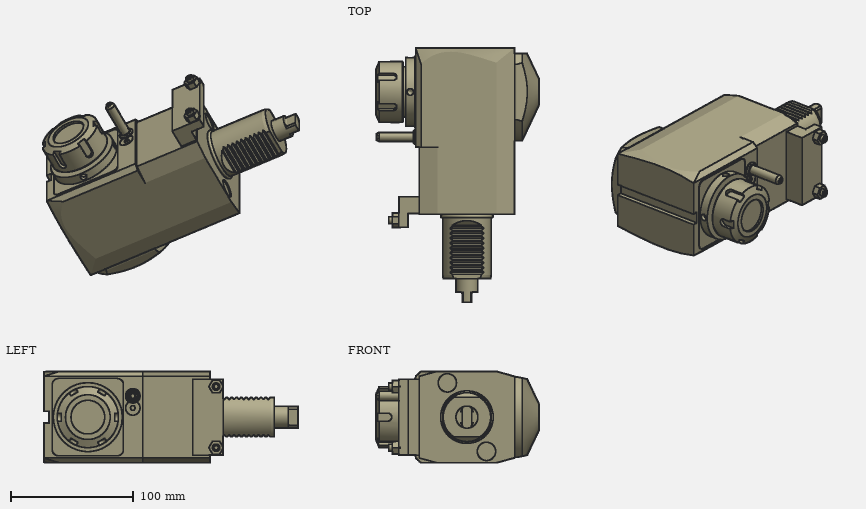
import cadquery as cq
import math


BODY_LENGTH = 136.0
BODY_HALF_HEIGHT = 37.5
BODY_SIDE_HALF_HEIGHT = 33.4
BODY_RIGHT = 39.0
BODY_SLOPE_RIGHT = 24.0
HEAD_START = 55.0
HEAD_LEFT = -42.0
HEAD_SLOPE_LEFT = -37.5
FOOT_LEFT = -39.0
FOOT_SLOPE_LEFT = -24.0
CROWN_PEAK_X = -13.0
CROWN_PEAK_HALF_HEIGHT = 37.1
CROWN_SHOULDER_X = 10.0
CROWN_SHOULDER_HALF_HEIGHT = 36.4
CROWN_SETBACK_LEFT = 13.2
CROWN_SETBACK_PEAK = 3.1
CROWN_SETBACK_SHOULDER = 7.6
CROWN_SETBACK_RIGHT = 12.0
SLOT_WIDTH = 9.6
SLOT_DEPTH = 4.1
PLUG_HOLE_DIAMETER = 15.0
PLUG_HOLE_DEPTH = 1.0
PLUG_HOLE_X = 16.0
PLUG_HOLE_Z = 28.0

SPINDLE_Y = 100.0
PLATE_THICKNESS = 0.5
PLATE_WIDTH = 58.2
PLATE_HEIGHT = 63.2
PLATE_CORNER_RADIUS = 5.0
FLANGE_RADIUS = 28.2
FLANGE_LEFT = -50.1
FLANGE_HOLE_DIAMETER = 5.4
FLANGE_HOLE_DEPTH = 4.0
FLANGE_HOLE_X = -46.3
FLANGE_HOLE_COUNT = 4
DRILL_POINT_ANGLE = 118.0
NECK_RADIUS = 20.7
NUT_RADIUS = 25.0
NUT_LEFT = -74.5
NUT_RIGHT = -52.0
NUT_REAR_CHAMFER = 1.0
NUT_TAPER_LENGTH = 2.7
NUT_FACE_RADIUS = 18.3
NUT_BORE_RADIUS = 13.8
NUT_BORE_DEPTH = 2.0
NUT_SLOT_COUNT = 6
NUT_SLOT_WIDTH = 6.6
NUT_SLOT_FLOOR_RADIUS = 21.9
NUT_SLOT_RIGHT = -57.3
NUT_SIDE_SLOT_RIGHT = -61.5

COOLANT_Y = 63.2
TUBE_Z = 17.4
TUBE_RADIUS = 3.85
TUBE_LEFT = -74.0
TUBE_TIP_LENGTH = 2.3
TUBE_TIP_RADIUS = 2.5
TUBE_COLLAR_RADIUS = 5.9
TUBE_COLLAR_LENGTH = 1.8
TUBE_COLLAR_TAPER = 1.2
COOLANT_PLUG_Z = 7.5
COOLANT_PLUG_RECESS = 0.3
SOCKET_WIDTH = 3.6
SOCKET_DEPTH = 2.0

BRACKET_LEFT = -55.7
BRACKET_LEG_RIGHT = -48.0
BRACKET_TOP = 14.4
BRACKET_STEP = 0.6
BRACKET_BOTTOM = -10.7
BRACKET_HEIGHT = 62.2
STUD_Y = -4.9
STUD_Z = 25.0
STUD_RADIUS = 3.0
STUD_LEFT = -64.0
STUD_SOCKET_WIDTH = 3.4
STUD_SOCKET_DEPTH = 1.5
STUD_NUT_ACROSS_FLATS = 10.3
STUD_NUT_LEFT = -61.0

SHANK_RADIUS = 20.0
SHANK_END = -52.6
SHANK_CHAMFER_RADIAL = 0.6
SHANK_CHAMFER_LENGTH = 3.0
RING_RADIUS = 21.5
FLAT_HEIGHT = 16.1
RUNOUT_START = -5.2
TOOTH_COUNT = 10
TOOTH_PITCH = 4.0
TOOTH_DEPTH = 1.6
FIRST_TOOTH_ROOT = -11.6
TANG_RADIUS = 9.0
TANG_SHOULDER = -63.7
TANG_END = -72.0
TANG_HALF_WIDTH = 4.0
TANG_FLAT_HALF_HEIGHT = 6.6
TANG_BEVEL_HALF_WIDTH = 3.1
TANG_ROOT_FILLET = 1.0

DOME_RADIUS = 40.0
DOME_CONE_LEFT = 45.2
DOME_RIGHT = 59.1
DOME_TIP_RADIUS = 10.6
DOME_BACK = 131.5
DOME_FLAT_LEFT = 40.8
DOME_FLAT_LEFT_HALF_HEIGHT = 33.0
DOME_FLAT_RIGHT_HALF_HEIGHT = 29.1

HEXAGON_SIDES = 6
OVERLAP = 1.0
MARGIN = 5.0


def x_cylinder(x_start, x_end, y, z, radius):
    """Cylinder along X between two X positions."""
    return (
        cq.Workplane("YZ", origin=(x_start, y, z))
        .circle(radius)
        .extrude(x_end - x_start)
    )


def x_hexagon(x_start, y, z, across_flats, length):
    """Hexagonal prism reaching from one X position toward +X."""
    across_corners = across_flats / math.cos(math.pi / HEXAGON_SIDES)
    return cq.Workplane("YZ", origin=(x_start, y, z)).polygon(HEXAGON_SIDES, across_corners).extrude(length)


def revolve_about_x(outline, y, z):
    """Revolve (x, radius) points about the X-parallel axis through y, z."""
    return cq.Workplane("XY", origin=(0, y, z)).polyline(outline).close().revolve(360, (0, 0, 0), (1, 0, 0))


def y_prism(outline, y_start, y_end):
    """Extrude (x, z) points along Y."""
    sketch = cq.Workplane("XZ", origin=(0, y_end, 0)).polyline(outline).close()
    return sketch.extrude(y_end - y_start)


def body_section(left, slope_left):
    """Octagonal body outline, symmetric about Z = 0."""
    upper = [
        (left, BODY_SIDE_HALF_HEIGHT),
        (slope_left, BODY_HALF_HEIGHT),
        (BODY_SLOPE_RIGHT, BODY_HALF_HEIGHT),
        (BODY_RIGHT, BODY_SIDE_HALF_HEIGHT),
    ]
    lower = [(x, -z) for x, z in reversed(upper)]
    return upper + lower


def crown_cutter():
    """Wedge over the back upper edge, bounded below by a curved sloping face."""
    stations = [
        (HEAD_SLOPE_LEFT, CROWN_SETBACK_LEFT, HEAD_LEFT, BODY_SIDE_HALF_HEIGHT),
        (CROWN_PEAK_X, CROWN_SETBACK_PEAK, CROWN_PEAK_X, CROWN_PEAK_HALF_HEIGHT),
        (CROWN_SHOULDER_X, CROWN_SETBACK_SHOULDER, CROWN_SHOULDER_X, CROWN_SHOULDER_HALF_HEIGHT),
        (BODY_SLOPE_RIGHT, CROWN_SETBACK_RIGHT, BODY_RIGHT, BODY_SIDE_HALF_HEIGHT),
    ]
    top_points = [cq.Vector(x, BODY_LENGTH - setback, BODY_HALF_HEIGHT) for x, setback, _, _ in stations]
    back_points = [cq.Vector(x, BODY_LENGTH, z) for _, _, x, z in stations]
    top_curve = cq.Edge.makeSpline(top_points)
    back_curve = cq.Edge.makeSpline(back_points)
    above = cq.Vector(0, 0, MARGIN)

    def lifted(point):
        return cq.Vector(point.x, point.y, BODY_HALF_HEIGHT) + above

    def flat_face(points):
        return cq.Face.makeFromWires(cq.Wire.makePolygon(points, close=True))

    roof_curve = top_curve.translate(above)
    back_roof = cq.Edge.makeLine(lifted(back_points[0]), lifted(back_points[-1]))
    left_top, right_top = top_points[0], top_points[-1]
    left_back, right_back = back_points[0], back_points[-1]
    left_end = flat_face([left_top, left_back, lifted(left_back), lifted(left_top)])
    right_end = flat_face([right_top, right_back, lifted(right_back), lifted(right_top)])
    roof_edges = [
        roof_curve,
        cq.Edge.makeLine(lifted(right_top), lifted(right_back)),
        back_roof,
        cq.Edge.makeLine(lifted(left_back), lifted(left_top)),
    ]
    faces = [
        cq.Face.makeRuledSurface(top_curve, back_curve),
        cq.Face.makeRuledSurface(top_curve, roof_curve),
        cq.Face.makeRuledSurface(back_curve, back_roof),
        cq.Face.makeFromWires(cq.Wire.assembleEdges(roof_edges)),
        left_end,
        right_end,
    ]
    return cq.Workplane(cq.Solid.makeSolid(cq.Shell.makeShell(faces)).fix())


def make_body():
    head = y_prism(body_section(HEAD_LEFT, HEAD_SLOPE_LEFT), HEAD_START, BODY_LENGTH)
    crown = crown_cutter()
    head = head.cut(crown).cut(crown.mirror("XY"))
    foot = y_prism(body_section(FOOT_LEFT, FOOT_SLOPE_LEFT), 0, HEAD_START)
    body = head.union(foot)

    slot_length = BODY_RIGHT - HEAD_LEFT
    slot = (
        cq.Workplane("XY")
        .box(slot_length, SLOT_DEPTH + MARGIN, SLOT_WIDTH, centered=(False, False, True))
        .translate((HEAD_LEFT, BODY_LENGTH - SLOT_DEPTH, 0))
    )
    body = body.cut(slot)

    plug_holes = (
        cq.Workplane("XZ")
        .pushPoints([(-PLUG_HOLE_X, PLUG_HOLE_Z), (PLUG_HOLE_X, -PLUG_HOLE_Z)])
        .circle(PLUG_HOLE_DIAMETER / 2)
        .extrude(-PLUG_HOLE_DEPTH)
    )
    return body.cut(plug_holes)


def make_cover_plate():
    return (
        cq.Workplane("YZ", origin=(HEAD_LEFT - PLATE_THICKNESS, SPINDLE_Y, 0))
        .rect(PLATE_WIDTH, PLATE_HEIGHT)
        .extrude(PLATE_THICKNESS + OVERLAP)
        .edges("|X")
        .fillet(PLATE_CORNER_RADIUS)
    )


def make_spindle():
    """Flange, neck and slotted clamping nut as one turned piece."""
    outline = [
        (HEAD_LEFT + OVERLAP, 0),
        (HEAD_LEFT + OVERLAP, FLANGE_RADIUS),
        (FLANGE_LEFT, FLANGE_RADIUS),
        (FLANGE_LEFT, NECK_RADIUS),
        (NUT_RIGHT, NECK_RADIUS),
        (NUT_RIGHT, NUT_RADIUS - NUT_REAR_CHAMFER),
        (NUT_RIGHT - NUT_REAR_CHAMFER, NUT_RADIUS),
        (NUT_LEFT + NUT_TAPER_LENGTH, NUT_RADIUS),
        (NUT_LEFT, NUT_FACE_RADIUS),
        (NUT_LEFT, NUT_BORE_RADIUS),
        (NUT_LEFT + NUT_BORE_DEPTH, NUT_BORE_RADIUS),
        (NUT_LEFT + NUT_BORE_DEPTH, 0),
    ]
    spindle = revolve_about_x(outline, SPINDLE_Y, 0)

    for index in range(NUT_SLOT_COUNT):
        on_side = index % (NUT_SLOT_COUNT // 2) == 0
        slot = nut_slot_cutter(NUT_SIDE_SLOT_RIGHT if on_side else NUT_SLOT_RIGHT)
        spindle = spindle.cut(turn_about_spindle(slot, index, NUT_SLOT_COUNT))
    for index in range(FLANGE_HOLE_COUNT):
        spindle = spindle.cut(turn_about_spindle(spanner_hole_cutter(), index, FLANGE_HOLE_COUNT))
    return spindle


def nut_slot_cutter(right_end):
    """Round-ended spanner slot on the -Y side of the nut."""
    left_end = NUT_LEFT - MARGIN
    straight_end = right_end - NUT_SLOT_WIDTH / 2
    return (
        cq.Workplane("XZ", origin=(0, SPINDLE_Y - NUT_SLOT_FLOOR_RADIUS, 0))
        .moveTo(left_end, -NUT_SLOT_WIDTH / 2)
        .lineTo(straight_end, -NUT_SLOT_WIDTH / 2)
        .threePointArc((right_end, 0), (straight_end, NUT_SLOT_WIDTH / 2))
        .lineTo(left_end, NUT_SLOT_WIDTH / 2)
        .close()
        .extrude(MARGIN)
    )


def spanner_hole_cutter():
    """Drilled hole with a conical bottom in the top of the flange."""
    radius = FLANGE_HOLE_DIAMETER / 2
    floor = FLANGE_RADIUS - FLANGE_HOLE_DEPTH
    point_depth = radius / math.tan(math.radians(DRILL_POINT_ANGLE / 2))
    outline = [
        (0, floor - point_depth),
        (radius, floor),
        (radius, FLANGE_RADIUS + MARGIN),
        (0, FLANGE_RADIUS + MARGIN),
    ]
    sketch = cq.Workplane("XZ", origin=(FLANGE_HOLE_X, SPINDLE_Y, 0)).polyline(outline).close()
    return sketch.revolve(360, (0, 0, 0), (0, 1, 0))


def turn_about_spindle(shape, index, count):
    """Turn a shape to one of several even steps about the spindle axis."""
    return shape.rotate((0, SPINDLE_Y, 0), (1, SPINDLE_Y, 0), index * 360 / count)


def make_coolant_tube():
    outline = [
        (HEAD_LEFT + OVERLAP, 0),
        (HEAD_LEFT + OVERLAP, TUBE_COLLAR_RADIUS),
        (HEAD_LEFT - TUBE_COLLAR_LENGTH + TUBE_COLLAR_TAPER, TUBE_COLLAR_RADIUS),
        (HEAD_LEFT - TUBE_COLLAR_LENGTH, TUBE_COLLAR_RADIUS - TUBE_COLLAR_TAPER),
        (HEAD_LEFT - TUBE_COLLAR_LENGTH, TUBE_RADIUS),
        (TUBE_LEFT + TUBE_TIP_LENGTH, TUBE_RADIUS),
        (TUBE_LEFT, TUBE_TIP_RADIUS),
        (TUBE_LEFT, 0),
    ]
    tube = revolve_about_x(outline, COOLANT_Y, TUBE_Z)
    return tube.cut(x_hexagon(TUBE_LEFT, COOLANT_Y, TUBE_Z, SOCKET_WIDTH, SOCKET_DEPTH))


def coolant_plug_cutter():
    """Shallow round recess with a hex socket in its floor."""
    floor = HEAD_LEFT + COOLANT_PLUG_RECESS
    recess = x_cylinder(HEAD_LEFT, floor, COOLANT_Y, COOLANT_PLUG_Z, TUBE_COLLAR_RADIUS)
    return recess.union(x_hexagon(HEAD_LEFT, COOLANT_Y, COOLANT_PLUG_Z, SOCKET_WIDTH, SOCKET_DEPTH))


def make_bracket():
    """L-shaped stop bracket carrying two locked studs."""
    outline = [
        (BRACKET_LEFT, BRACKET_BOTTOM),
        (BRACKET_LEG_RIGHT, BRACKET_BOTTOM),
        (BRACKET_LEG_RIGHT, BRACKET_STEP),
        (FOOT_LEFT + OVERLAP, BRACKET_STEP),
        (FOOT_LEFT + OVERLAP, BRACKET_TOP),
        (BRACKET_LEFT, BRACKET_TOP),
    ]
    bracket = cq.Workplane("XY").polyline(outline).close().extrude(BRACKET_HEIGHT / 2, both=True)
    for z in (-STUD_Z, STUD_Z):
        nut_length = BRACKET_LEFT - STUD_NUT_LEFT + OVERLAP
        nut = x_hexagon(STUD_NUT_LEFT, STUD_Y, z, STUD_NUT_ACROSS_FLATS, nut_length)
        stud = x_cylinder(STUD_LEFT, BRACKET_LEFT, STUD_Y, z, STUD_RADIUS)
        socket = x_hexagon(STUD_LEFT, STUD_Y, z, STUD_SOCKET_WIDTH, STUD_SOCKET_DEPTH)
        bracket = bracket.union(nut).union(stud).cut(socket)
    return bracket


def make_shank():
    """Round shank with a rounded seat ring and toothed flats above and below."""
    ring_width = RING_RADIUS - SHANK_RADIUS
    shank = (
        cq.Workplane("XY")
        .moveTo(0, OVERLAP)
        .lineTo(SHANK_RADIUS, OVERLAP)
        .lineTo(SHANK_RADIUS, 0)
        .threePointArc((RING_RADIUS, -ring_width), (SHANK_RADIUS, -2 * ring_width))
        .lineTo(SHANK_RADIUS, SHANK_END + SHANK_CHAMFER_LENGTH)
        .lineTo(SHANK_RADIUS - SHANK_CHAMFER_RADIAL, SHANK_END)
        .lineTo(0, SHANK_END)
        .close()
        .revolve(360, (0, 0, 0), (0, 1, 0))
    )
    flat = flat_cutter()
    return shank.cut(flat).cut(flat.mirror("XY"))


def flat_cutter():
    """Cutter for the upper flat, with a 45 degree runout and V-shaped teeth."""
    runout_height = SHANK_RADIUS + MARGIN
    runout_end = RUNOUT_START - (SHANK_RADIUS - FLAT_HEIGHT)
    outline = [
        (RUNOUT_START + MARGIN, runout_height),
        (runout_end, FLAT_HEIGHT),
    ]
    for index in range(TOOTH_COUNT):
        root = FIRST_TOOTH_ROOT - index * TOOTH_PITCH
        outline.append((root + TOOTH_DEPTH, FLAT_HEIGHT))
        outline.append((root, FLAT_HEIGHT - TOOTH_DEPTH))
        outline.append((root - TOOTH_DEPTH, FLAT_HEIGHT))
    outline.append((SHANK_END - MARGIN, FLAT_HEIGHT))
    outline.append((SHANK_END - MARGIN, runout_height))
    sketch = cq.Workplane("YZ").polyline(outline).close()
    return sketch.extrude(SHANK_RADIUS, both=True)


def make_tang():
    """Round drive journal ending in a bevelled flat tang."""
    journal = cq.Workplane("XZ", origin=(0, SHANK_END + OVERLAP, 0)).circle(TANG_RADIUS)
    journal = journal.extrude(SHANK_END + OVERLAP - TANG_END)

    bevel_height = math.sqrt(TANG_RADIUS**2 - TANG_BEVEL_HALF_WIDTH**2)
    for side in (-1, 1):
        beside = [
            (side * TANG_BEVEL_HALF_WIDTH, bevel_height),
            (side * TANG_HALF_WIDTH, TANG_FLAT_HALF_HEIGHT),
            (side * TANG_HALF_WIDTH, -TANG_FLAT_HALF_HEIGHT),
            (side * TANG_BEVEL_HALF_WIDTH, -bevel_height),
            (side * (TANG_RADIUS + MARGIN), -bevel_height),
            (side * (TANG_RADIUS + MARGIN), bevel_height),
        ]
        cutter = y_prism(beside, TANG_END - MARGIN, TANG_SHOULDER)
        root_edge = cq.selectors.NearestToPointSelector((side * TANG_HALF_WIDTH, TANG_SHOULDER, 0))
        cutter = cutter.edges(root_edge).fillet(TANG_ROOT_FILLET)
        journal = journal.cut(cutter)
    return journal


def make_dome():
    """Conical rear cover, cut flat at the back, above and below."""
    outline = [
        (BODY_RIGHT - OVERLAP, 0),
        (BODY_RIGHT - OVERLAP, DOME_RADIUS),
        (DOME_CONE_LEFT, DOME_RADIUS),
        (DOME_RIGHT, DOME_TIP_RADIUS),
        (DOME_RIGHT, 0),
    ]
    dome = revolve_about_x(outline, SPINDLE_Y, 0)
    envelope_outline = [
        (BODY_RIGHT - OVERLAP, DOME_FLAT_LEFT_HALF_HEIGHT),
        (DOME_FLAT_LEFT, DOME_FLAT_LEFT_HALF_HEIGHT),
        (DOME_RIGHT, DOME_FLAT_RIGHT_HALF_HEIGHT),
        (DOME_RIGHT, -DOME_FLAT_RIGHT_HALF_HEIGHT),
        (DOME_FLAT_LEFT, -DOME_FLAT_LEFT_HALF_HEIGHT),
        (BODY_RIGHT - OVERLAP, -DOME_FLAT_LEFT_HALF_HEIGHT),
    ]
    envelope = y_prism(envelope_outline, SPINDLE_Y - DOME_RADIUS - MARGIN, DOME_BACK)
    return dome.intersect(envelope)


result = (
    make_body()
    .cut(coolant_plug_cutter())
    .union(make_cover_plate())
    .union(make_spindle())
    .union(make_coolant_tube())
    .union(make_bracket())
    .union(make_shank())
    .union(make_tang())
    .union(make_dome())
)